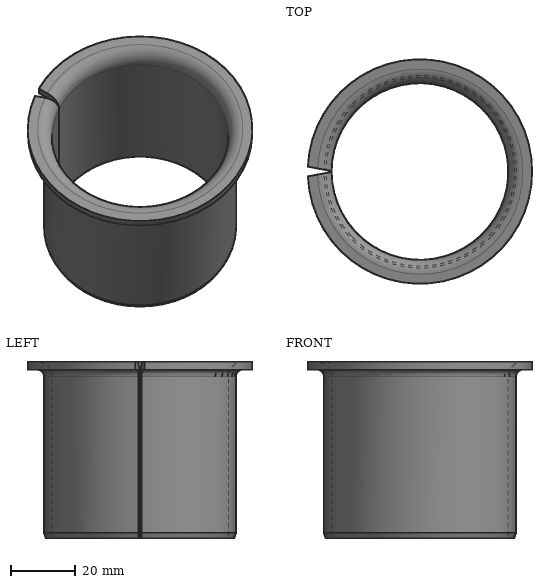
import cadquery as cq
import math

flange_diameter = 70.0
body_diameter = 60.0
wall = 2.5
height = 55.0
outer_bend_radius = 1.95
inner_bend_radius = outer_bend_radius + wall
chamfer_height = 1.75
chamfer_depth = 0.6

split_tip_radius = 26.95
split_half_angle = 10.5

flange_radius = flange_diameter / 2
body_radius = body_diameter / 2
bore_radius = body_radius - wall
flange_bottom = height - wall


def bent_wall():
    """Revolve the wall section, which bends outwards into the flange."""
    diagonal = math.sqrt(0.5)
    bend_center_x = body_radius + outer_bend_radius
    bend_center_z = flange_bottom - outer_bend_radius

    def bend_middle(radius):
        return (bend_center_x - radius * diagonal, bend_center_z + radius * diagonal)

    section = (
        cq.Workplane("XZ")
        .moveTo(bore_radius, 0)
        .lineTo(body_radius - chamfer_depth, 0)
        .lineTo(body_radius, chamfer_height)
        .lineTo(body_radius, bend_center_z)
        .threePointArc(bend_middle(outer_bend_radius), (bend_center_x, flange_bottom))
        .lineTo(flange_radius, flange_bottom)
        .lineTo(flange_radius, height)
        .lineTo(bend_center_x, height)
        .threePointArc(bend_middle(inner_bend_radius), (bore_radius, bend_center_z))
        .close()
    )
    bushing = section.revolve(360, (0, 0, 0), (0, 1, 0))
    return bushing.rotate((0, 0, 0), (0, 0, 1), 180)


def split_cutter():
    """Full-height wedge, wide enough to pass out through the flange rim."""
    reach = flange_diameter
    spread = (reach - split_tip_radius) * math.tan(math.radians(split_half_angle))
    return (
        cq.Workplane("XY")
        .polyline([(-split_tip_radius, 0), (-reach, spread), (-reach, -spread)])
        .close()
        .extrude(height)
    )


result = bent_wall().cut(split_cutter())